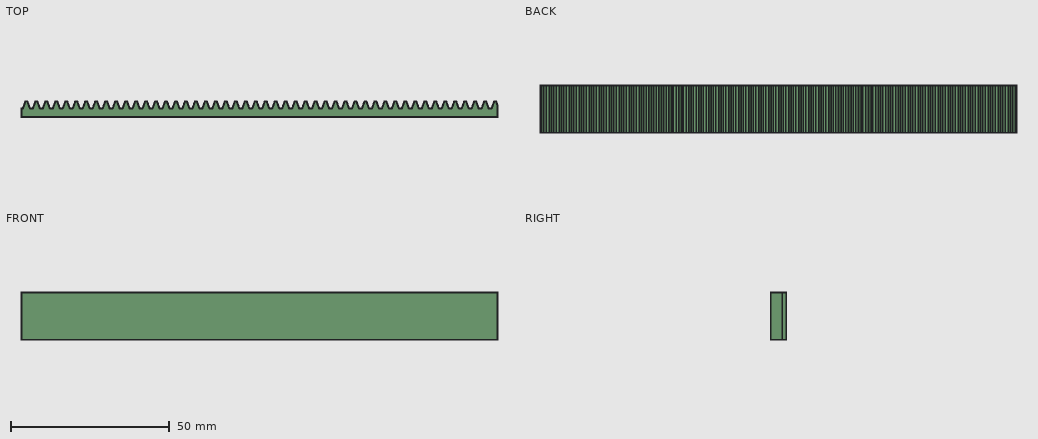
import cadquery as cq
import math

length = 150.0
face_width = length / 10
depth = length / 30

module = length / 150
pitch = math.pi * module
pressure_angle = math.radians(20)
tooth_height = 2.25 * module
tip_width = 0.62
tooth_count = 48

root_y = depth - tooth_height
flank_run = tooth_height * math.tan(pressure_angle)
root_width = tip_width + 2 * flank_run


def tooth_corners(center):
    """The four corners of one trapezoidal tooth, from left root to right root."""
    return [
        (center - root_width / 2, root_y),
        (center - tip_width / 2, depth),
        (center + tip_width / 2, depth),
        (center + root_width / 2, root_y),
    ]


def rack_outline():
    """Closed XY outline of whole pitches, with each tooth centred in its pitch."""
    toothed_end = tooth_count * pitch
    corners = [(0, 0), (0, root_y)]
    for index in range(tooth_count):
        corners += tooth_corners((index + 0.5) * pitch)
    corners += [(toothed_end, root_y), (toothed_end, 0)]
    return corners


toothed_bar = cq.Workplane("XY").polyline(rack_outline()).close().extrude(face_width)

trim_block = cq.Workplane("XY").box(length, depth, face_width, centered=False)
result = toothed_bar.intersect(trim_block)